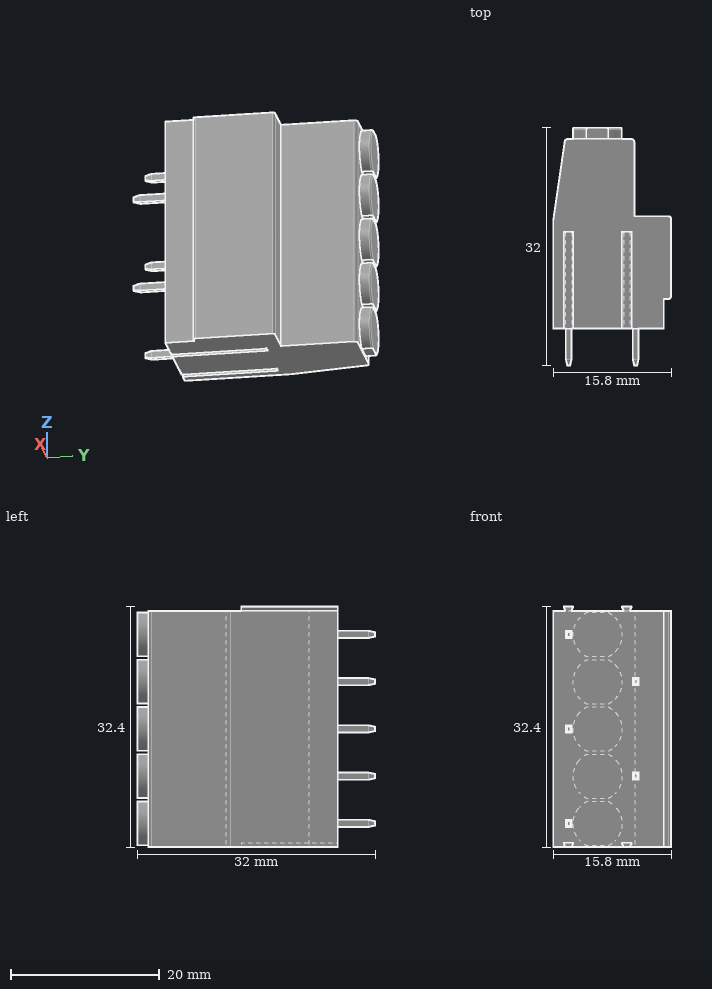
import cadquery as cq

pole_count = 5
pitch = 6.35
housing_height = pole_count * pitch
first_pole_z = pitch / 2

housing_width = 15.85
base_width = 14.9
foot_depth = 3.95
shoulder_y = 15.1
tower_right_x = 10.95
tower_left_x = 1.6
tower_top_y = 25.5
taper_start_y = 14.5
tower_corner_radius = 0.5
shoulder_corner_radius = 0.35

rib_centers_x = (2.06, 9.9)
rib_tip_width = 1.4
rib_root_width = 0.85
rib_height = 0.6
rib_length = 13.0
rib_edge_radius = 0.1

screw_x = 5.95
screw_diameter = 6.6
screw_width_across_flats = 5.9
screw_height = 1.5
screw_edge_radius = 0.2

pin_rows_x = (2.1, 11.1)
pin_width = 0.8
pin_thickness = 1.0
pin_length = 5.0
pin_tip_length = 0.9
pin_tip_inset = 0.2


def make_housing():
    """Stepped profile with rounded tower and shoulder corners, extruded over all poles."""
    body = (
        cq.Workplane("XY")
        .moveTo(0, 0)
        .lineTo(base_width, 0)
        .lineTo(base_width, foot_depth)
        .lineTo(housing_width, foot_depth)
        .lineTo(housing_width, shoulder_y)
        .lineTo(tower_right_x, shoulder_y)
        .lineTo(tower_right_x, tower_top_y)
        .lineTo(tower_left_x, tower_top_y)
        .lineTo(0, taper_start_y)
        .close()
        .extrude(housing_height)
    )
    body = body.edges("|Z and >Y").fillet(tower_corner_radius)
    return body.edges("|Z and >X").fillet(shoulder_corner_radius)


def make_dovetail(center_x, root_z):
    """Round-edged dovetail bar that widens upward from root_z and starts at the board face."""
    return (
        cq.Workplane("XZ", origin=(center_x, 0, root_z))
        .moveTo(-rib_root_width / 2, 0)
        .lineTo(rib_root_width / 2, 0)
        .lineTo(rib_tip_width / 2, rib_height)
        .lineTo(-rib_tip_width / 2, rib_height)
        .close()
        .extrude(-rib_length)
        .edges("|Y and >Z")
        .fillet(rib_edge_radius)
    )


def make_screw_head(center_z):
    """Round head with a rounded rim and flats facing the neighbouring poles."""
    head = (
        cq.Workplane("XZ", origin=(screw_x, tower_top_y, center_z))
        .circle(screw_diameter / 2)
        .extrude(-screw_height)
        .faces(">Y")
        .edges()
        .fillet(screw_edge_radius)
    )
    flats = (
        cq.Workplane("XZ", origin=(screw_x, tower_top_y, center_z))
        .rect(screw_diameter, screw_width_across_flats)
        .extrude(-screw_height)
    )
    return head.intersect(flats)


def make_pin(center_x, center_z):
    """Rectangular pin with a tapered tip."""
    shank_length = pin_length - pin_tip_length
    shank = (
        cq.Workplane("XZ", origin=(center_x, 0, center_z))
        .rect(pin_width, pin_thickness)
        .extrude(shank_length)
    )
    tip = (
        cq.Workplane("XZ", origin=(center_x, -shank_length, center_z))
        .rect(pin_width, pin_thickness)
        .workplane(offset=pin_tip_length)
        .rect(pin_width - 2 * pin_tip_inset, pin_thickness - 2 * pin_tip_inset)
        .loft(ruled=True)
    )
    return shank.union(tip)


result = make_housing()

for rib_x in rib_centers_x:
    result = result.cut(make_dovetail(rib_x, 0))
    result = result.union(make_dovetail(rib_x, housing_height))

for pole in range(pole_count):
    pole_z = first_pole_z + pole * pitch
    pin_x = pin_rows_x[pole % len(pin_rows_x)]
    result = result.union(make_screw_head(pole_z))
    result = result.union(make_pin(pin_x, pole_z))